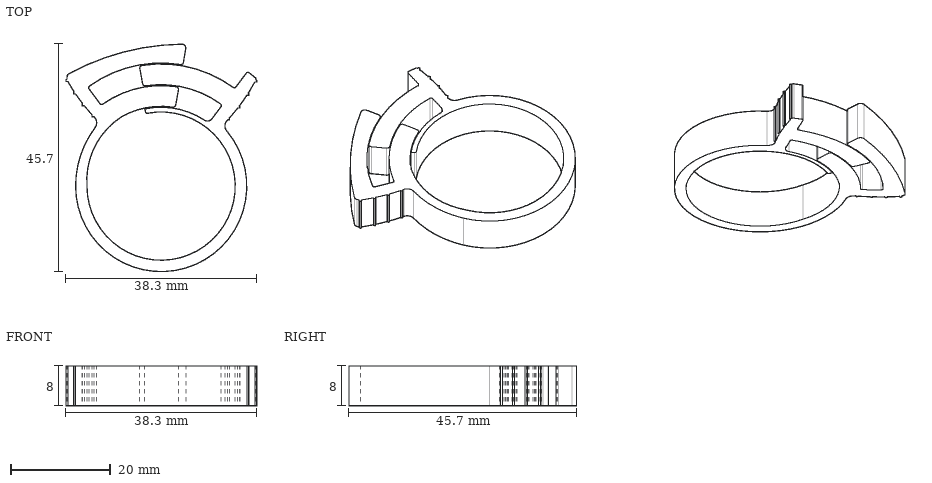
import cadquery as cq
import math

HEIGHT = 8.0

RING_OUTER = 17.2
RING_INNER = 14.85
SWELL_START = 180
SWELL_MIDDLE = 148
SWELL_MIDDLE_OUTER = 17.5
SWELL_MIDDLE_INNER = 15.5

CLEARANCE = 0.15
JAW_THICKNESS = 4.2
TONGUE_OUTER = 15.85
LEFT_JAW_INNER = TONGUE_OUTER + CLEARANCE
LEFT_JAW_OUTER = LEFT_JAW_INNER + JAW_THICKNESS
RIGHT_JAW_INNER = LEFT_JAW_OUTER + CLEARANCE
RIGHT_JAW_OUTER = RIGHT_JAW_INNER + JAW_THICKNESS
ARM_INNER = RIGHT_JAW_OUTER + CLEARANCE

RIGHT_TIP_ANGLE = 100.3
LEFT_TIP_ANGLE = 79.7
TONGUE_TIP_ANGLE = 102
LEFT_SPINE_ANGLE = 126.5
RIGHT_SPINE_ANGLE = 53
LEFT_JAW_BLEND_ANGLE = 120

ARM_CENTER = (4.8, -20.15)
ARM_RADIUS = 48.65
ARM_HEEL_X = -18.85
ARM_TIP_X = 5.1

SPINE_RADIUS = 36.55
LEFT_SPINE_CENTER = (13.05, 39.0)
RIGHT_SPINE_CENTER = (-13.4, 38.2)
LEFT_BACK_TOP = 209.0
LEFT_FOOT = 225.8
RIGHT_BACK_TOP = -27.1
RIGHT_FOOT = -45.5
RIGHT_SPINE_TOP = 28.85
TEETH_PER_SPINE = 4
LEFT_FIRST_TOOTH = 209.6
LEFT_TOOTH_STEP = 4.6
RIGHT_FIRST_TOOTH = -28.3
RIGHT_TOOTH_STEP = -4.9
TOOTH_DEPTH = 0.4
TOOTH_FACE = 0.35
TOOTH_SHOULDER = 0.15

SPINE_FOOT_FILLET = 1.6
TIP_FILLET = 0.6
ARM_TIP_FILLET = 0.8
TONGUE_TIP_FILLET = 0.35
POCKET_FILLET = 0.4
TONGUE_ROOT_FILLET = 1.1
SPINE_TOP_FILLET = 0.4
HEEL_FILLET = 0.78


def on_circle(radius, angle, center=(0, 0)):
    a = math.radians(angle)
    return (center[0] + radius * math.cos(a), center[1] + radius * math.sin(a))


def on_arm(x):
    return (x, ARM_CENTER[1] + math.sqrt(ARM_RADIUS**2 - (x - ARM_CENTER[0]) ** 2))


def left_back(angle):
    return on_circle(SPINE_RADIUS, angle, LEFT_SPINE_CENTER)


def right_back(angle):
    return on_circle(SPINE_RADIUS, angle, RIGHT_SPINE_CENTER)


def arc_to(outline, radius, start, end):
    """Continue the outline along a circle about the ring axis."""
    return outline.threePointArc(on_circle(radius, (start + end) / 2), on_circle(radius, end))


left_foot = left_back(LEFT_FOOT)
right_foot = right_back(RIGHT_FOOT)
left_back_top = left_back(LEFT_BACK_TOP)
right_back_top = right_back(RIGHT_BACK_TOP)
arm_heel = on_arm(ARM_HEEL_X)
arm_tip_outer = on_arm(ARM_TIP_X)
arm_tip_inner = on_circle(ARM_INNER, LEFT_TIP_ANGLE)
right_spine_top = on_circle(RIGHT_SPINE_TOP, RIGHT_SPINE_ANGLE)


def clamp_body():
    """The whole profile is one closed outline, followed counter-clockwise."""
    w = cq.Workplane("XY").moveTo(*on_circle(RING_OUTER, SWELL_START))
    w = w.threePointArc(on_circle(RING_OUTER, -90), right_foot)
    w = w.threePointArc(right_back((RIGHT_FOOT + RIGHT_BACK_TOP) / 2), right_back_top)
    w = w.lineTo(*right_spine_top)
    w = w.lineTo(*on_circle(RIGHT_JAW_OUTER, RIGHT_SPINE_ANGLE))
    w = arc_to(w, RIGHT_JAW_OUTER, RIGHT_SPINE_ANGLE, RIGHT_TIP_ANGLE)
    w = w.lineTo(*on_circle(RIGHT_JAW_INNER, RIGHT_TIP_ANGLE))
    w = arc_to(w, RIGHT_JAW_INNER, RIGHT_TIP_ANGLE, RIGHT_SPINE_ANGLE)
    w = w.lineTo(*on_circle(TONGUE_OUTER, RIGHT_SPINE_ANGLE))
    w = arc_to(w, TONGUE_OUTER, RIGHT_SPINE_ANGLE, TONGUE_TIP_ANGLE)
    w = w.lineTo(*on_circle(RING_INNER, TONGUE_TIP_ANGLE))
    w = arc_to(w, RING_INNER, TONGUE_TIP_ANGLE, SWELL_START - 360)
    w = w.threePointArc(
        on_circle(SWELL_MIDDLE_INNER, SWELL_MIDDLE), on_circle(LEFT_JAW_INNER, LEFT_JAW_BLEND_ANGLE))
    w = arc_to(w, LEFT_JAW_INNER, LEFT_JAW_BLEND_ANGLE, LEFT_TIP_ANGLE)
    w = w.lineTo(*on_circle(LEFT_JAW_OUTER, LEFT_TIP_ANGLE))
    w = arc_to(w, LEFT_JAW_OUTER, LEFT_TIP_ANGLE, LEFT_SPINE_ANGLE)
    w = w.lineTo(*on_circle(ARM_INNER, LEFT_SPINE_ANGLE))
    w = arc_to(w, ARM_INNER, LEFT_SPINE_ANGLE, LEFT_TIP_ANGLE)
    w = w.lineTo(*arm_tip_outer)
    w = w.threePointArc(on_arm((ARM_TIP_X + ARM_HEEL_X) / 2), arm_heel)
    w = w.lineTo(*left_back_top)
    w = w.threePointArc(left_back((LEFT_FOOT + LEFT_BACK_TOP) / 2), left_foot)
    w = w.threePointArc(
        on_circle(SWELL_MIDDLE_OUTER, SWELL_MIDDLE), on_circle(RING_OUTER, SWELL_START))
    return w.close().extrude(HEIGHT)


def round_corners(body, radius, corners):
    """Fillet the upright edges that stand at the given outline corners."""
    for x, y in corners:
        edge = cq.selectors.NearestToPointSelector((x, y, HEIGHT / 2))
        body = body.edges("|Z").edges(edge).fillet(radius)
    return body


def tooth(root, side):
    """Small upright ridge with a level underside; side is -1 on the left spine, +1 on the right."""
    root_x, root_y = root
    tip_x = root_x + side * TOOTH_DEPTH
    face_top = root_y + TOOTH_FACE
    outline = [
        root,
        (tip_x, root_y),
        (tip_x, face_top),
        (root_x + side * TOOTH_DEPTH / 2, face_top + TOOTH_SHOULDER),
        (root_x - side * TOOTH_DEPTH / 2, face_top),
    ]
    return cq.Workplane("XY").polyline(outline).close().extrude(HEIGHT)


result = clamp_body()
result = round_corners(result, SPINE_FOOT_FILLET, [left_foot, right_foot])
result = round_corners(result, ARM_TIP_FILLET, [arm_tip_outer])
result = round_corners(result, TIP_FILLET, [
    arm_tip_inner,
    on_circle(RIGHT_JAW_OUTER, RIGHT_TIP_ANGLE),
    on_circle(RIGHT_JAW_INNER, RIGHT_TIP_ANGLE),
    on_circle(LEFT_JAW_OUTER, LEFT_TIP_ANGLE),
    on_circle(LEFT_JAW_INNER, LEFT_TIP_ANGLE),
])
result = round_corners(result, TONGUE_TIP_FILLET, [on_circle(RING_INNER, TONGUE_TIP_ANGLE)])
result = round_corners(result, POCKET_FILLET, [
    on_circle(RIGHT_JAW_OUTER, RIGHT_SPINE_ANGLE),
    on_circle(RIGHT_JAW_INNER, RIGHT_SPINE_ANGLE),
    on_circle(LEFT_JAW_OUTER, LEFT_SPINE_ANGLE),
    on_circle(ARM_INNER, LEFT_SPINE_ANGLE),
])
result = round_corners(result, TONGUE_ROOT_FILLET, [on_circle(TONGUE_OUTER, RIGHT_SPINE_ANGLE)])
result = round_corners(result, SPINE_TOP_FILLET, [right_spine_top, right_back_top])
result = round_corners(result, HEEL_FILLET, [arm_heel])

for i in range(TEETH_PER_SPINE):
    left_root = left_back(LEFT_FIRST_TOOTH + i * LEFT_TOOTH_STEP)
    right_root = right_back(RIGHT_FIRST_TOOTH + i * RIGHT_TOOTH_STEP)
    result = result.union(tooth(left_root, -1)).union(tooth(right_root, 1))